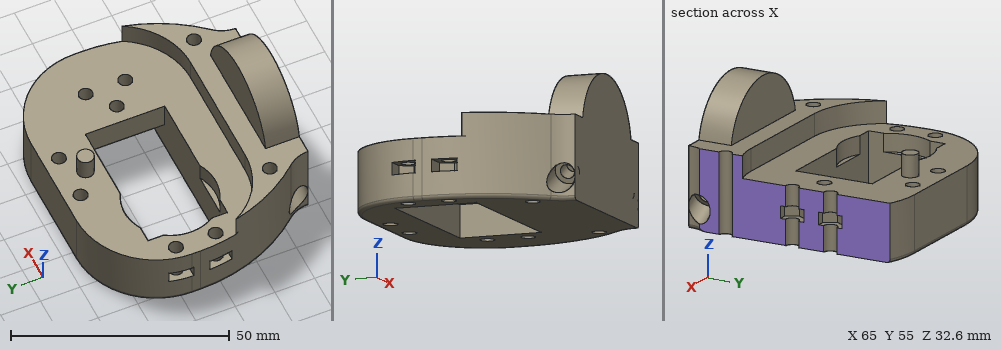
import cadquery as cq
import math

half_width = 32.5
back_y = 22.5
front_y = -32.5
corner_radius = 20.0
flank_radius = 41.6
neck_radius = 7.8
front_half_width = 20.0
bottom_fillet = 1.0

body_height = 19.95
deck_height = 14.5

deck_front_y = -18.9
deck_half_width = 33.6
deck_corner_radius = 18.6

boss_radius = 15.5
boss_top = 32.6
boss_length = 8.5

peg_diameter = 4.0
peg_y = 14.5

window_left = -24.7
window_right = 9.9
window_width = 20.0
recess_radius = 11.45
recess_x = -15.0
recess_depth = 4.5
undercut_right = 16.2
undercut_height = 7.8

hole_diameter = 3.4
back_hole = (6.0, 18.45)
front_hole = (20.9, -22.4)
side_hole_y = 5.0
left_hole_x = -29.1
right_hole_x = 20.7
center_hole = (14.4, 0.0)

nut_width = 6.0
nut_slot_bottom = 6.45
nut_slot_height = 2.9

hexagon_half_corner = 30.0

screw_slope = 30.0
counterbore_diameter = 5.9
counterbore_floor_x = 17.15
counterbore_floor_z = 7.2
screw_y = front_y + 3.0
counterbore_length = 13.0
shank_length = 4.5


def body_outline():
    radius_sum = flank_radius + neck_radius
    turn = math.acos(1 - (half_width - front_half_width) / radius_sum)
    flank_y = front_y + radius_sum * math.sin(turn)

    def flank_point(angle):
        x = half_width - flank_radius * (1 - math.cos(angle))
        return x, flank_y - flank_radius * math.sin(angle)

    def neck_point(angle):
        x = front_half_width + neck_radius * (1 - math.cos(angle))
        return x, front_y + neck_radius * math.sin(angle)

    def left(point):
        return -point[0], point[1]

    diagonal = corner_radius / math.sqrt(2)
    corner_x = half_width - corner_radius
    corner_y = back_y - corner_radius
    corner_middle = (corner_x + diagonal, corner_y + diagonal)

    return (
        cq.Workplane("XY")
        .moveTo(-front_half_width, front_y)
        .lineTo(front_half_width, front_y)
        .threePointArc(neck_point(turn / 2), neck_point(turn))
        .threePointArc(flank_point(turn / 2), flank_point(0))
        .lineTo(half_width, corner_y)
        .threePointArc(corner_middle, (corner_x, back_y))
        .lineTo(-corner_x, back_y)
        .threePointArc(left(corner_middle), (-half_width, corner_y))
        .lineTo(-half_width, flank_y)
        .threePointArc(left(flank_point(turn / 2)), left(flank_point(turn)))
        .threePointArc(left(neck_point(turn / 2)), (-front_half_width, front_y))
        .close()
    )


def make_body():
    body = body_outline().extrude(body_height)
    front_edge = cq.selectors.NearestToPointSelector((0, front_y, 0))
    bottom_edges = cq.selectors.StringSyntaxSelector("<Z")
    return body.edges(bottom_edges - front_edge).fillet(bottom_fillet)


def deck_cut():
    length = 2 * (back_y - deck_front_y)
    return (
        cq.Workplane("XY", origin=(0, deck_front_y + length / 2, deck_height))
        .rect(2 * deck_half_width, length)
        .extrude(body_height)
        .edges("|Z and <Y")
        .fillet(deck_corner_radius)
    )


def boss():
    center = (0, front_y, boss_top - boss_radius)
    return cq.Workplane("XZ", origin=center).circle(boss_radius).extrude(-boss_length)


def peg():
    return cq.Workplane("XY").center(0, peg_y).circle(peg_diameter / 2).extrude(body_height)


def window_cut():
    def pocket(right, height):
        return (
            cq.Workplane("XY")
            .center((window_left + right) / 2, 0)
            .rect(right - window_left, window_width)
            .extrude(height)
        )

    recess = (
        cq.Workplane("XY", origin=(recess_x, 0, deck_height - recess_depth))
        .circle(recess_radius)
        .extrude(recess_depth)
    )
    window = pocket(window_right, deck_height)
    undercut = pocket(undercut_right, undercut_height)
    return window.union(undercut).union(recess)


def side_holes():
    return [(x, y) for x in (left_hole_x, right_hole_x) for y in (-side_hole_y, side_hole_y)]


def vertical_holes():
    points = side_holes() + [center_hole]
    for x, y in (back_hole, front_hole):
        points += [(-x, y), (x, y)]
    return cq.Workplane("XY").pushPoints(points).circle(hole_diameter / 2).extrude(body_height)


def nut_slot(x, y):
    side = math.copysign(1, x)
    half_corner = math.radians(hexagon_half_corner)
    shoulder_x = x - side * nut_width / 2 * math.tan(half_corner)
    point_x = x - side * nut_width / 2 / math.cos(half_corner)
    outer_x = side * half_width
    low_y = y - nut_width / 2
    high_y = y + nut_width / 2
    return (
        cq.Workplane("XY", origin=(0, 0, nut_slot_bottom))
        .moveTo(outer_x, low_y)
        .lineTo(shoulder_x, low_y)
        .lineTo(point_x, y)
        .lineTo(shoulder_x, high_y)
        .lineTo(outer_x, high_y)
        .close()
        .extrude(nut_slot_height)
    )


def slanted_screw_hole(side):
    slope = math.radians(screw_slope)
    inward = cq.Vector(-side * math.cos(slope), 0, math.sin(slope))
    floor = cq.Vector(side * counterbore_floor_x, screw_y, counterbore_floor_z)
    counterbore = cq.Solid.makeCylinder(counterbore_diameter / 2, counterbore_length, floor, inward * -1)
    shank = cq.Solid.makeCylinder(hole_diameter / 2, shank_length, floor, inward)
    return cq.Workplane(counterbore).union(cq.Workplane(shank))


result = make_body().cut(deck_cut()).union(boss()).union(peg())
result = result.cut(window_cut()).cut(vertical_holes())
for hole_x, hole_y in side_holes():
    result = result.cut(nut_slot(hole_x, hole_y))
for side in (-1, 1):
    result = result.cut(slanted_screw_hole(side))